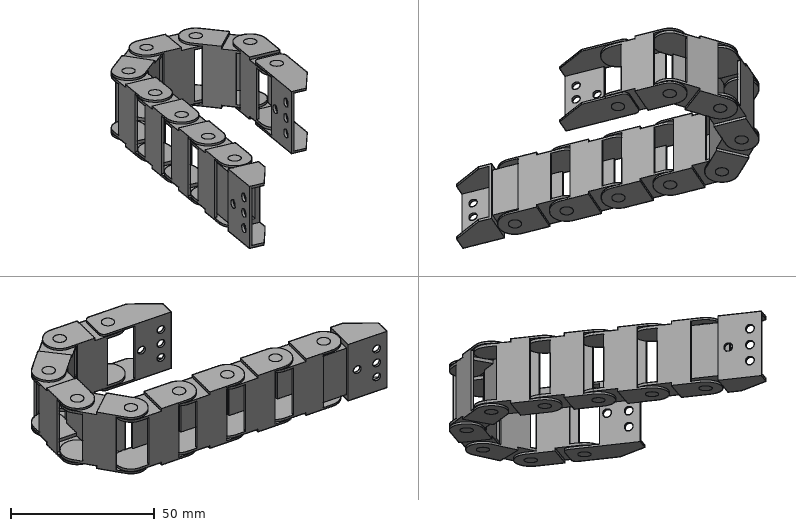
import cadquery as cq
import math


OVERALL_LENGTH = 119.3
STRAIGHT_LINKS = 4
LOWER_BEND_ANGLE = 47
UPPER_BEND_ANGLE = 48
LINK_HEADINGS = [180] * STRAIGHT_LINKS + [180 - LOWER_BEND_ANGLE, 90, UPPER_BEND_ANGLE, 0]

LINK_WIDTH = 12.0
END_RADIUS = LINK_WIDTH / 2
HALF_HEIGHT = 12.0
YOKE_PLATE = 0.8
TONGUE_PLATE = 1.0
TONGUE_TOP = 11.0
YOKE_INNER = HALF_HEIGHT - YOKE_PLATE
TONGUE_INNER = TONGUE_TOP - TONGUE_PLATE
PIN_DIAMETER = 4.7
PIN_RADIUS = PIN_DIAMETER / 2

BAR_THICKNESS = 1.0
PIVOT_TO_BAR = 3.7
PIVOT_TO_STEP = 8.8

BRACKET_REACH = 22.1
BRACKET_TAPER_START = 11.2
BRACKET_TAPER_ANGLE = 30
BRACKET_WALL = 1.0
PIVOT_END_FILLET = 2.0
HOLE_RADIUS = 1.5
HOLE_ROW_OFFSET = 17.9
HOLE_ROW_SPACING = 6.0
SINGLE_HOLE_OFFSET = 10.0
FIXED_SHOULDER = 6.3
FIXED_TONGUE_HALF_WIDTH = 5.0
FIXED_TONGUE_HALF_HEIGHT = 9.9
FIXED_CAVITY_HALF_WIDTH = 4.2
FIXED_CAVITY_HALF_HEIGHT = 9.2
FREE_FLOOR_START = 7.3

PITCH = (OVERALL_LENGTH - END_RADIUS - BRACKET_REACH) / (
    STRAIGHT_LINKS + math.cos(math.radians(LOWER_BEND_ANGLE))
)


def block(x_range, y_range, z_range):
    """Box given by its low and high limits along each axis."""
    limits = (x_range, y_range, z_range)
    size = [high - low for low, high in limits]
    corner = [low for low, high in limits]
    return cq.Workplane("XY").box(*size, centered=False).translate(tuple(corner))


def symmetric_block(x_range, half_width, half_height):
    """Box centred on Y = 0 and Z = 0."""
    return block(x_range, (-half_width, half_width), (-half_height, half_height))


def disc(x, radius, z_range):
    """Upright cylinder centred on the X axis."""
    low, high = z_range
    return cq.Workplane("XY", origin=(x, 0, low)).circle(radius).extrude(high - low)


def mirrored_pair(upper):
    """A shape above Z = 0 together with its mirror image below."""
    return upper.union(upper.mirror("XY"))


def pivot_holes():
    """Through cutter for the pin at the yoke pivot."""
    return disc(0, PIN_RADIUS, (-HALF_HEIGHT, HALF_HEIGHT))


def make_link():
    """Link with its yoke pivot at the origin and its tongue pivot at X = PITCH."""
    step = PITCH - PIVOT_TO_STEP
    across = (-END_RADIUS, END_RADIUS)
    yoke_z = (YOKE_INNER, HALF_HEIGHT)
    tongue_z = (TONGUE_INNER, TONGUE_TOP)

    yoke = block((0, step), across, yoke_z).union(disc(0, END_RADIUS, yoke_z))
    shoulder = block((PIVOT_TO_STEP, step), across, (TONGUE_INNER, HALF_HEIGHT))
    tongue = block((PIVOT_TO_STEP, PITCH), across, tongue_z).union(disc(PITCH, END_RADIUS, tongue_z))
    pin = disc(PITCH, PIN_RADIUS, (TONGUE_INNER, HALF_HEIGHT))
    link = mirrored_pair(yoke.union(shoulder).union(tongue).union(pin))

    bar_y = (END_RADIUS - BAR_THICKNESS, END_RADIUS)
    yoke_bar = block((PIVOT_TO_BAR, step), bar_y, (-HALF_HEIGHT, HALF_HEIGHT))
    tongue_bar = block((step, PITCH - PIVOT_TO_BAR), bar_y, (-TONGUE_TOP, TONGUE_TOP))
    bar = yoke_bar.union(tongue_bar)
    return link.union(bar).union(bar.mirror("XZ")).cut(pivot_holes())


def bracket_blank(start):
    """Full-height bracket body from X = start to the free end, with its tapered +Y edge."""
    taper_run = BRACKET_REACH - BRACKET_TAPER_START
    taper_end_y = END_RADIUS - taper_run * math.tan(math.radians(BRACKET_TAPER_ANGLE))
    outline = [
        (start, -END_RADIUS),
        (BRACKET_REACH, -END_RADIUS),
        (BRACKET_REACH, taper_end_y),
        (BRACKET_TAPER_START, END_RADIUS),
        (start, END_RADIUS),
    ]
    return cq.Workplane("XY").polyline(outline).close().extrude(HALF_HEIGHT, both=True)


def screw_holes():
    """Cutters for the four screw holes through the bracket floor."""
    spots = [(SINGLE_HOLE_OFFSET, 0)]
    spots += [(HOLE_ROW_OFFSET, row * HOLE_ROW_SPACING) for row in (-1, 0, 1)]
    return cq.Workplane("XZ").pushPoints(spots).circle(HOLE_RADIUS).extrude(END_RADIUS)


def make_fixed_bracket():
    """Bracket with a hollow tongue and a full-height pin, open to +Y past its shoulder."""
    tongue = symmetric_block(
        (-END_RADIUS, FIXED_SHOULDER), FIXED_TONGUE_HALF_WIDTH, FIXED_TONGUE_HALF_HEIGHT
    )
    tongue = tongue.edges("|Z and <X").fillet(PIVOT_END_FILLET)
    tunnel = symmetric_block(
        (-END_RADIUS, FIXED_SHOULDER + BRACKET_WALL), FIXED_CAVITY_HALF_WIDTH, FIXED_CAVITY_HALF_HEIGHT
    )
    channel = block(
        (FIXED_SHOULDER + BRACKET_WALL, BRACKET_REACH),
        (-END_RADIUS + BRACKET_WALL, END_RADIUS),
        (-HALF_HEIGHT + BRACKET_WALL, HALF_HEIGHT - BRACKET_WALL),
    )
    body = bracket_blank(FIXED_SHOULDER).union(tongue).cut(tunnel).cut(channel)
    pin = disc(0, PIN_RADIUS, (-HALF_HEIGHT, HALF_HEIGHT))
    return body.cut(screw_holes()).union(pin)


def make_free_bracket():
    """Bracket with yoke plates around the last tongue and a floor on its -Y side."""
    body = bracket_blank(-END_RADIUS).edges("|Z and <X").fillet(PIVOT_END_FILLET)
    floor_y = -END_RADIUS + BRACKET_WALL
    channel = block((-END_RADIUS, BRACKET_REACH), (floor_y, END_RADIUS), (-YOKE_INNER, YOKE_INNER))
    floor_window = symmetric_block((-END_RADIUS, FREE_FLOOR_START), END_RADIUS, YOKE_INNER)
    return body.cut(channel).cut(floor_window).cut(screw_holes()).cut(pivot_holes())


fixed_bracket = make_fixed_bracket()

link = make_link()
links = []
pivot_x = 0
pivot_y = 0
for heading in LINK_HEADINGS:
    placed = link.rotate((0, 0, 0), (0, 0, 1), heading).translate((pivot_x, pivot_y, 0))
    links.append(placed)
    pivot_x += PITCH * math.cos(math.radians(heading))
    pivot_y += PITCH * math.sin(math.radians(heading))

free_bracket = make_free_bracket().translate((pivot_x, pivot_y, 0))

result = cq.Compound.makeCompound(
    [fixed_bracket.val(), *[placed.val() for placed in links], free_bracket.val()]
)